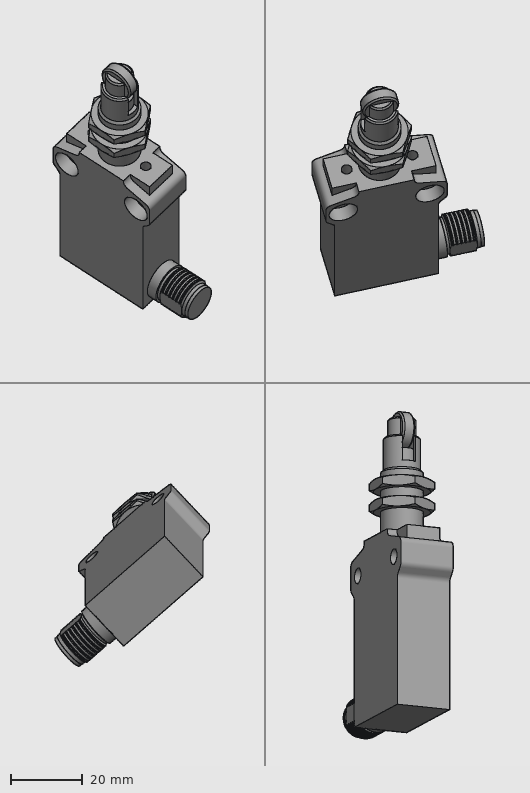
import cadquery as cq
import math


housing_width = 30.0
housing_depth = 16.0
housing_height = 52.0
ear_width = 35.0
ear_bottom = 39.65
ear_radius = 2.0
shoulder_angle = math.radians(15)
crown_width = 16.0
crown_notch_height = 50.1
tongue_depth = 10.0

mount_spacing = 25.0
mount_height = 43.0
mount_diameter = 4.4
mount_bore_diameter = 8.2
mount_bore_depth = 4.2

top_hole_spacing = 19.0
top_hole_diameter = 3.0
top_hole_depth = 5.0

barrel_diameter = 12.0
barrel_top = 71.15
bore_diameter = 10.6
bore_floor = housing_height
barrel_chamfer = (barrel_diameter - bore_diameter) / 2

nut_across_flats = 16.0
nut_thickness = 3.0
nut_bottoms = (59.2, 65.2)
nut_chamfer_angle = math.radians(25)

sleeve_diameter = 10.5
sleeve_bore_diameter = 8.05
sleeve_top = 80.6
sleeve_slot_floor = 73.1
core_diameter = 7.95
core_top = 86.0
core_slot_floor = 77.0
slot_width = 4.0
plunger_chamfer = 0.5

total_height = 88.0
roller_diameter = 10.4
roller_width = 3.7
roller_chamfer = 0.5

connector_height = 6.05
flange_diameter = 12.0
flange_length = 3.1
stem_diameter = 10.6
stem_length = 13.0
tip_diameter = 10.4
connector_length = 14.0
grip_diameter = 12.0
grip_start = 3.95
grip_end = 11.9
grip_chamfer_length = 0.4
grip_across_flats = 10.62
groove_count = 6
groove_pitch = 1.25
groove_width = 0.6
groove_depth = 0.15


def cylinder(diameter, bottom, top):
    return cq.Workplane("XY").workplane(offset=bottom).circle(diameter / 2).extrude(top - bottom)


def housing_outline():
    """Closed front outline with sharp corners, from the bottom corner on the +X side up and round."""
    half_body = housing_width / 2
    half_ear = ear_width / 2
    half_crown = crown_width / 2
    ear_top = crown_notch_height - (half_ear - half_crown) * math.tan(shoulder_angle)
    body_top = ear_bottom - (half_ear - half_body)
    right_side = [
        (half_body, 0),
        (half_body, body_top),
        (half_ear, ear_bottom),
        (half_ear, ear_top),
        (half_crown, crown_notch_height),
        (half_crown, housing_height),
    ]
    left_side = [(-x, z) for x, z in reversed(right_side)]
    return cq.Workplane("XZ").polyline(right_side + left_side).close()


def make_housing():
    half_depth = housing_depth / 2
    body = housing_outline().extrude(half_depth, both=True)

    lowest_rounded = ear_bottom / 2
    highest_rounded = (crown_notch_height + housing_height) / 2
    rounded = cq.selectors.BoxSelector(
        (-ear_width, -housing_depth, lowest_rounded),
        (ear_width, housing_depth, highest_rounded),
    )
    body = body.edges("|Y").edges(rounded).fillet(ear_radius)

    tongue = cq.Workplane("XY").box(
        housing_width, tongue_depth, housing_height - ear_bottom, centered=(True, True, False)
    )
    body = body.union(tongue.translate((0, 0, ear_bottom)))

    front = cq.Workplane("XZ", origin=(0, -half_depth, mount_height))
    mount_points = [(-mount_spacing / 2, 0), (mount_spacing / 2, 0)]
    body = body.cut(front.pushPoints(mount_points).circle(mount_diameter / 2).extrude(-housing_depth))
    body = body.cut(front.pushPoints(mount_points).circle(mount_bore_diameter / 2).extrude(-mount_bore_depth))

    top = cq.Workplane("XY").workplane(offset=housing_height)
    top_points = [(-top_hole_spacing / 2, 0), (top_hole_spacing / 2, 0)]
    body = body.cut(top.pushPoints(top_points).circle(top_hole_diameter / 2).extrude(-top_hole_depth))

    barrel = cylinder(barrel_diameter, housing_height, barrel_top).faces(">Z").chamfer(barrel_chamfer)
    return body.union(barrel).cut(cylinder(bore_diameter, bore_floor, barrel_top))


def make_nut(bottom):
    """Hexagon nut with two flats facing +-Y and its corners turned off at both ends."""
    across_corners = nut_across_flats / math.cos(math.pi / 6)
    corner_drop = (across_corners - nut_across_flats) / 2 * math.tan(nut_chamfer_angle)
    half_flats = nut_across_flats / 2
    half_corners = across_corners / 2
    hexagon = cq.Workplane("XY").polygon(6, across_corners).extrude(nut_thickness)
    turned = (
        cq.Workplane("XZ")
        .polyline(
            [
                (barrel_diameter / 2, 0),
                (half_flats, 0),
                (half_corners, corner_drop),
                (half_corners, nut_thickness - corner_drop),
                (half_flats, nut_thickness),
                (barrel_diameter / 2, nut_thickness),
            ]
        )
        .close()
        .revolve(360, (0, 0, 0), (0, 1, 0))
    )
    return hexagon.intersect(turned).translate((0, 0, bottom))


def slot_cutter(floor):
    """Block that cuts a slot along X from the floor up past the top of the switch."""
    block = cq.Workplane("XY").box(
        barrel_diameter, slot_width, total_height - floor, centered=(True, True, False)
    )
    return block.translate((0, 0, floor))


def make_sleeve():
    sleeve = cylinder(sleeve_diameter, bore_floor, sleeve_top).faces(">Z").chamfer(plunger_chamfer)
    sleeve = sleeve.cut(cylinder(sleeve_bore_diameter, bore_floor, sleeve_top))
    return sleeve.cut(slot_cutter(sleeve_slot_floor))


def make_core():
    core = cylinder(core_diameter, bore_floor, core_top).faces(">Z").chamfer(plunger_chamfer)
    return core.cut(slot_cutter(core_slot_floor))


def make_roller():
    centre_height = total_height - roller_diameter / 2
    disc = cq.Workplane("XZ", origin=(0, roller_width / 2, centre_height)).circle(roller_diameter / 2)
    return disc.extrude(roller_width).edges().chamfer(roller_chamfer)


def make_connector():
    side = cq.Workplane("YZ", origin=(housing_width / 2, 0, connector_height))

    def disc(diameter, start, end):
        return side.workplane(offset=start).circle(diameter / 2).extrude(end - start)

    def turned(profile):
        """Revolves points of (distance along the connector, radius) about the connector's axis."""
        points = [(housing_width / 2 + x, connector_height + radius) for x, radius in profile]
        axis_start = (0, connector_height)
        axis_end = (1, connector_height)
        return cq.Workplane("XZ").polyline(points).close().revolve(360, axis_start, axis_end)

    grip_radius = grip_diameter / 2
    stem_radius = stem_diameter / 2
    grip = turned(
        [
            (grip_start, 0),
            (grip_start, stem_radius),
            (grip_start + grip_chamfer_length, grip_radius),
            (grip_end - grip_chamfer_length, grip_radius),
            (grip_end, stem_radius),
            (grip_end, 0),
        ]
    )

    grip_middle = (grip_start + grip_end) / 2
    for index in range(groove_count):
        groove_middle = grip_middle + (index - (groove_count - 1) / 2) * groove_pitch
        groove = [
            (groove_middle - groove_width / 2, grip_radius),
            (groove_middle, grip_radius - groove_depth),
            (groove_middle + groove_width / 2, grip_radius),
        ]
        grip = grip.cut(turned(groove))

    flats = side.rect(grip_across_flats, grip_diameter).extrude(connector_length)
    grip = grip.intersect(flats)

    connector = disc(flange_diameter, 0, flange_length)
    connector = connector.union(disc(stem_diameter, 0, stem_length))
    connector = connector.union(disc(tip_diameter, 0, connector_length))
    return connector.union(grip)


housing = make_housing()
nuts = [make_nut(bottom) for bottom in nut_bottoms]
sleeve = make_sleeve()
core = make_core()
roller = make_roller()
connector = make_connector()

result = cq.Compound.makeCompound(
    [
        housing.val(),
        *[nut.val() for nut in nuts],
        sleeve.val(),
        core.val(),
        roller.val(),
        connector.val(),
    ]
)